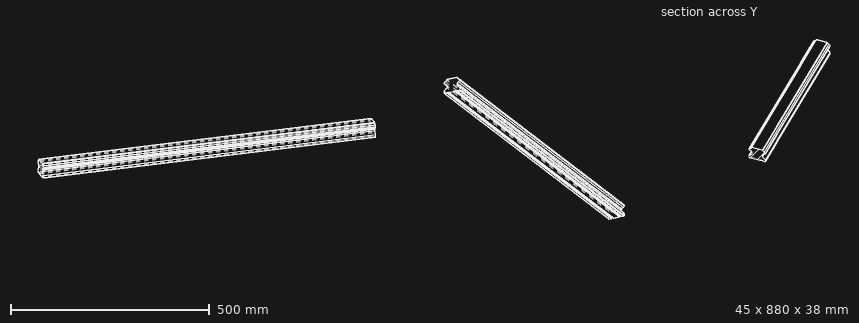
import cadquery as cq

width = 45.0
length = 880.0
height = 38.0

half_width = width / 2
top = height / 2
bottom = -height / 2

raceway_level = 9.6
raceway_inner_x = 15.5
raceway_inner_rise = 8.0
raceway_outer_x = 19.3
raceway_outer_rise = 4.3
raceway_sag = 1.0
flank_chamfer = half_width - raceway_outer_x
flank_rise = raceway_outer_rise - flank_chamfer
top_flat_half_width = 14.4

waist_half_width = 14.5
waist_bottom = -3.5
waist_top_chamfer = raceway_inner_x - waist_half_width

foot_flank_top = waist_bottom - (half_width - waist_half_width)
foot_chamfer = 1.5

groove_offset = 11.5
groove_width = 5.0
groove_depth = 1.5


def half_section():
    """Right half of the rail section, closed along the vertical centre line."""
    upper_inner = raceway_level + raceway_inner_rise
    upper_outer = raceway_level + raceway_outer_rise
    lower_outer = raceway_level - raceway_outer_rise
    lower_inner = raceway_level - raceway_inner_rise
    return (
        cq.Workplane("XZ")
        .moveTo(0, top)
        .lineTo(top_flat_half_width, top)
        .lineTo(raceway_inner_x, upper_inner)
        .sagittaArc((raceway_outer_x, upper_outer), -raceway_sag)
        .lineTo(half_width, raceway_level + flank_rise)
        .lineTo(half_width, raceway_level - flank_rise)
        .lineTo(raceway_outer_x, lower_outer)
        .sagittaArc((raceway_inner_x, lower_inner), -raceway_sag)
        .lineTo(waist_half_width, lower_inner - waist_top_chamfer)
        .lineTo(waist_half_width, waist_bottom)
        .lineTo(half_width, foot_flank_top)
        .lineTo(half_width, bottom + foot_chamfer)
        .lineTo(half_width - foot_chamfer, bottom)
        .lineTo(0, bottom)
        .close()
    )


def rail_body():
    """Full-length rail, its right half mirrored to the left."""
    right_half = half_section().extrude(length / 2, both=True)
    return right_half.union(right_half.mirror("YZ")).clean()


def underside_groove(x_center):
    """Full-length rectangular groove cutter, open at the bottom face."""
    cutter = cq.Workplane("XY").box(groove_width, length, groove_depth, centered=(True, True, False))
    return cutter.translate((x_center, 0, bottom))


result = rail_body()
for x_center in (-groove_offset, groove_offset):
    result = result.cut(underside_groove(x_center))